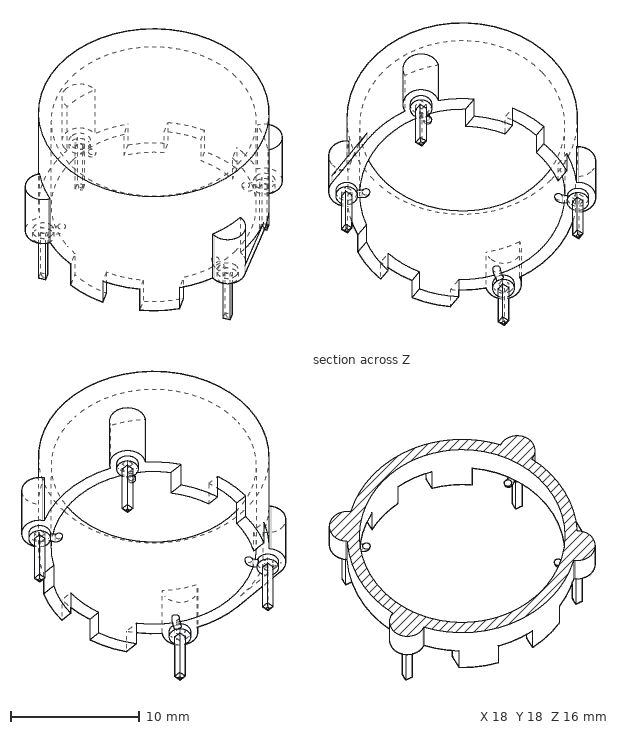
import cadquery as cq
import math


housing_diameter = 18.0
cavity_diameter = 16.0
housing_height = 10.6
housing_radius = housing_diameter / 2
cavity_radius = cavity_diameter / 2
wall_thickness = housing_radius - cavity_radius

leg_height = 2.4
leg_width = 2.93
leg_gap = 2.99

terminal_x = 7.5
terminal_y = 5.0
terminal_distance = math.hypot(terminal_x, terminal_y)

boss_radius = 1.4
boss_height = 5.0

ledge_height = wall_thickness

pin_width = 0.6
pin_length = 5.4
pin_tip_chamfer = 0.2

wire_diameter = 0.6
wire_radius = wire_diameter / 2
collar_diameter = 1.7
collar_height = wire_diameter
wire_bend_radius = 0.3
wire_rise_distance = 7.5

terminals = [(sx * terminal_x, sy * terminal_y) for sx in (-1, 1) for sy in (-1, 1)]


def direction_angle(x, y):
    """Angle of a point about the housing axis, in degrees."""
    return math.degrees(math.atan2(y, x))


def make_legs():
    """Four pieces of the cup wall that extend below the rim."""
    ring = (
        cq.Workplane("XY")
        .circle(housing_radius)
        .circle(cavity_radius)
        .extrude(-leg_height)
    )
    leg_offset = (leg_gap + leg_width) / 2
    strips = (
        cq.Workplane("XY")
        .pushPoints([(-leg_offset, 0), (leg_offset, 0)])
        .rect(leg_width, housing_diameter)
        .extrude(-leg_height)
    )
    return ring.intersect(strips)


def make_boss(x, y):
    """Round-nosed boss whose straight flanks run radially into the cup."""
    boss = (
        cq.Workplane("XY")
        .moveTo(0, -boss_radius)
        .lineTo(terminal_distance, -boss_radius)
        .threePointArc((terminal_distance + boss_radius, 0), (terminal_distance, boss_radius))
        .lineTo(0, boss_radius)
        .close()
        .extrude(boss_height)
    )
    return boss.rotate((0, 0, 0), (0, 0, 1), direction_angle(x, y))


def make_ledge():
    """Low ledge with a flat side tangent to both the cup and one boss."""
    boss_angle = math.atan2(terminal_y, terminal_x)
    turn_to_normal = math.acos((housing_radius - boss_radius) / terminal_distance)
    tangent_angle = boss_angle - turn_to_normal
    normal_x = math.cos(tangent_angle)
    normal_y = -math.sin(tangent_angle)
    return (
        cq.Workplane("XY")
        .moveTo(0, 0)
        .lineTo(terminal_x, -terminal_y)
        .lineTo(terminal_x + boss_radius * normal_x, -terminal_y + boss_radius * normal_y)
        .lineTo(housing_radius * normal_x, housing_radius * normal_y)
        .close()
        .extrude(ledge_height)
    )


def make_housing():
    """Cup, bosses, ledge and legs as one solid."""
    body = cq.Workplane("XY").circle(housing_radius).extrude(housing_height)
    for x, y in terminals:
        body = body.union(make_boss(x, y))
    body = body.union(make_ledge())
    cavity = cq.Workplane("XY").circle(cavity_radius).extrude(housing_height - wall_thickness)
    return body.cut(cavity).union(make_legs())


def make_pin(x, y):
    """Square pin with a chamfered tip, ending at the underside of its boss."""
    return (
        cq.Workplane("XY")
        .rect(pin_width, pin_width)
        .extrude(-pin_length)
        .faces("<Z")
        .chamfer(pin_tip_chamfer)
        .translate((x, y, 0))
    )


def make_lead(x, y, pin):
    """Collar round the pin, with a wire that runs inward and bends up at the cavity."""
    collar = (
        cq.Workplane("XY")
        .center(terminal_distance, 0)
        .circle(collar_diameter / 2)
        .extrude(-collar_height)
    )
    bend_start = wire_rise_distance + wire_bend_radius
    bend_middle = wire_bend_radius * math.sqrt(0.5)
    path = (
        cq.Workplane("XZ")
        .moveTo(terminal_distance, -wire_radius)
        .lineTo(bend_start, -wire_radius)
        .threePointArc(
            (bend_start - bend_middle, wire_bend_radius - wire_radius - bend_middle),
            (wire_rise_distance, wire_bend_radius - wire_radius),
        )
    )
    wire = (
        cq.Workplane("YZ", origin=(terminal_distance, 0, -wire_radius))
        .circle(wire_radius)
        .sweep(path)
    )
    lead = collar.union(wire).rotate((0, 0, 0), (0, 0, 1), direction_angle(x, y))
    return lead.cut(pin)


housing = make_housing()
pins = []
leads = []
for x, y in terminals:
    pin = make_pin(x, y)
    pins.append(pin.val())
    leads.append(make_lead(x, y, pin).solids().val())

result = cq.Compound.makeCompound([housing.solids().val(), *pins, *leads])